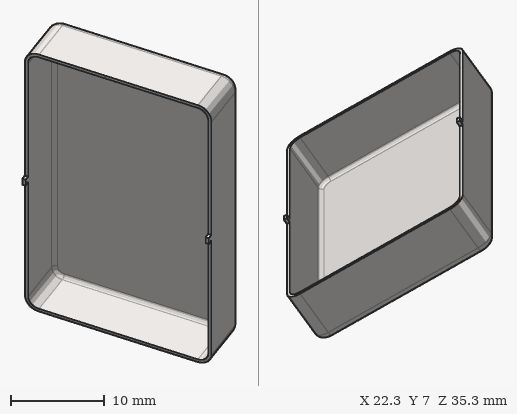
import cadquery as cq

width = 22.3
height = 35.3
overall_depth = 7.0

wall = 0.4
corner_radius = 1.65
back_edge_radius = 0.85

tab_length = 0.6
tab_height = 0.8

tray_depth = overall_depth - tab_length
rim_y = -overall_depth / 2 + tab_length


def rounded_block(inset, depth):
    """Block reaching back from the rim, with rounded corners and back edge.

    The inset shrinks the outline and radii together, keeping walls even.
    """
    return (
        cq.Workplane("XZ", origin=(0, rim_y, 0))
        .rect(width - 2 * inset, height - 2 * inset)
        .extrude(-depth)
        .edges("|Y")
        .fillet(corner_radius - inset)
        .faces(">Y")
        .edges()
        .fillet(back_edge_radius - inset)
    )


def rim_tab(side):
    """Tab standing forward of the rim, flush with the side wall."""
    center_x = side * (width - wall) / 2
    return (
        cq.Workplane("XZ", origin=(center_x, rim_y, 0))
        .rect(wall, tab_height)
        .extrude(tab_length)
    )


result = rounded_block(0, tray_depth).cut(rounded_block(wall, tray_depth - wall))

for side in (-1, 1):
    result = result.union(rim_tab(side))